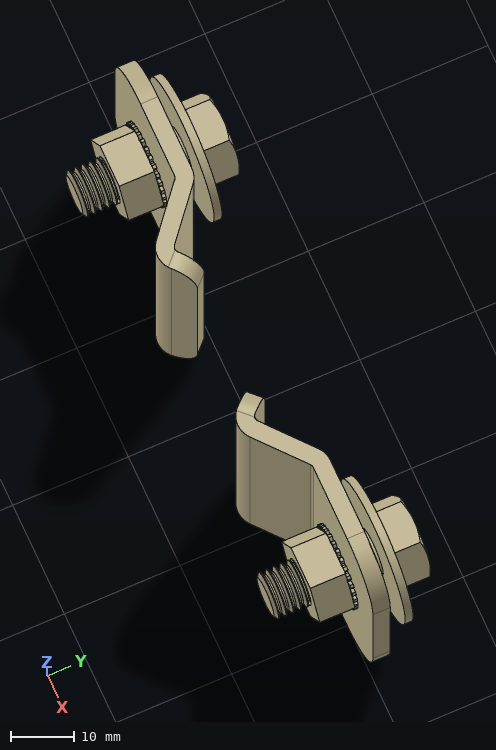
import cadquery as cq
import math


OVERALL_LENGTH = 100.0
PLATE_EDGE = OVERALL_LENGTH / 2
BOLT_X = 37.0

PLATE_HEIGHT = 40.0
PLATE_THICKNESS = 3.0
FLAT_LENGTH = 23.1
SLOPE_LENGTH = 10.6
LIP_LENGTH = 4.4
SLOPE_ANGLE = 40.0
LIP_ANGLE = 45.0
BEND_RADIUS = 1.0
OUTER_CORNER_RADIUS = 10.0
LIP_CORNER_RADIUS = 5.0

THREAD_DIAMETER = 8.0
ROOT_DIAMETER = 6.6
THREAD_LENGTH = 17.5
CREST_COUNT = 15
THREAD_PITCH = THREAD_LENGTH / (CREST_COUNT - 1)
CREST_WIDTH = THREAD_PITCH / 8
END_CHAMFER = 0.6
SHANK_LENGTH = 20.0
HEAD_ACROSS_FLATS = 13.0
HEAD_HEIGHT = 5.2
HEAD_CHAMFER_DIAMETER = HEAD_ACROSS_FLATS
HEAD_CHAMFER_ANGLE = 30.0
HEAD_COLLAR_DIAMETER = 12.6
HEAD_COLLAR_HEIGHT = 0.5
HEAD_SEAT_Y = 7.2

WASHER_DIAMETER = 25.0
WASHER_THICKNESS = 1.4

NUT_ACROSS_FLATS = 12.9
NUT_HEIGHT = 6.7
RIM_HEIGHT = 0.6
RIM_TIP_RADIUS = 7.3
RIM_ROOT_RADIUS = 6.4
TOOTH_COUNT = 29
TOOTH_TIP_SHARE = 0.4
TOOTH_ROOT_SHARE = 0.2


def across_corners(across_flats):
    """Corner-to-corner size of a hexagon."""
    return across_flats / math.cos(math.radians(30))


def plane_facing_front(y):
    """Workplane at the given Y, centred on the bolt axis; extruding goes toward -Y."""
    return cq.Workplane("XZ", origin=(0, y, 0))


def polar(radius, degrees):
    """Point at a radius and an angle about the origin."""
    angle = math.radians(degrees)
    return (radius * math.cos(angle), radius * math.sin(angle))


def shifted(start, length, degrees):
    """Point reached from a start by going a length in a direction."""
    dx, dy = polar(length, degrees)
    return (start[0] + dx, start[1] + dy)


def make_plate():
    """Left-hand clamp plate: flat part, slope toward -Y, lip turned back toward +Y."""
    outer_radius = BEND_RADIUS + PLATE_THICKNESS
    slope_normal = 90 - SLOPE_ANGLE
    lip_normal = 90 - LIP_ANGLE
    bend_end = -PLATE_EDGE + FLAT_LENGTH

    first_center = (bend_end, -BEND_RADIUS)
    slope_front_start = shifted(first_center, BEND_RADIUS, slope_normal)
    slope_back_start = shifted(first_center, outer_radius, slope_normal)
    slope_front_end = shifted(slope_front_start, SLOPE_LENGTH, -SLOPE_ANGLE)
    slope_back_end = shifted(slope_back_start, SLOPE_LENGTH, -SLOPE_ANGLE)
    second_center = shifted(slope_back_end, BEND_RADIUS, slope_normal)
    lip_front_start = shifted(second_center, outer_radius, -lip_normal)
    lip_back_start = shifted(second_center, BEND_RADIUS, -lip_normal)
    lip_front_end = shifted(lip_front_start, LIP_LENGTH, LIP_ANGLE)
    lip_back_end = shifted(lip_back_start, LIP_LENGTH, LIP_ANGLE)

    first_middle = 90 - SLOPE_ANGLE / 2
    plate = (
        cq.Workplane("XY", origin=(0, 0, -PLATE_HEIGHT / 2))
        .moveTo(-PLATE_EDGE, 0)
        .lineTo(bend_end, 0)
        .threePointArc(shifted(first_center, BEND_RADIUS, first_middle), slope_front_start)
        .lineTo(*slope_front_end)
        .threePointArc(shifted(second_center, outer_radius, -90), lip_front_start)
        .lineTo(*lip_front_end)
        .lineTo(*lip_back_end)
        .lineTo(*lip_back_start)
        .threePointArc(shifted(second_center, BEND_RADIUS, -90), slope_back_end)
        .lineTo(*slope_back_start)
        .threePointArc(shifted(first_center, outer_radius, first_middle), (bend_end, PLATE_THICKNESS))
        .lineTo(-PLATE_EDGE, PLATE_THICKNESS)
        .close()
        .extrude(PLATE_HEIGHT)
    )

    corner_height = PLATE_HEIGHT / 2
    for z in (-corner_height, corner_height):
        outer_corner = (-PLATE_EDGE, PLATE_THICKNESS / 2, z)
        plate = plate.edges(cq.NearestToPointSelector(outer_corner)).fillet(OUTER_CORNER_RADIUS)
        lip_corner = (
            (lip_front_end[0] + lip_back_end[0]) / 2,
            (lip_front_end[1] + lip_back_end[1]) / 2,
            z,
        )
        plate = plate.edges(cq.NearestToPointSelector(lip_corner)).fillet(LIP_CORNER_RADIUS)

    hole = (
        plane_facing_front(PLATE_THICKNESS)
        .center(-BOLT_X, 0)
        .circle(THREAD_DIAMETER / 2)
        .extrude(PLATE_THICKNESS)
    )
    return plate.cut(hole)


def make_threaded_shank():
    """Shank with ring-shaped thread crests, one per pitch, starting at the chamfered end."""
    end_y = HEAD_SEAT_Y - SHANK_LENGTH
    crest_radius = THREAD_DIAMETER / 2
    root_radius = ROOT_DIAMETER / 2
    root_width = THREAD_PITCH / 4
    flank_width = (THREAD_PITCH - CREST_WIDTH - root_width) / 2

    outline = [(0, end_y), (root_radius, end_y)]
    for i in range(CREST_COUNT):
        crest_y = end_y + END_CHAMFER + i * THREAD_PITCH
        if i > 0:
            outline.append((root_radius, crest_y - CREST_WIDTH / 2 - flank_width))
        outline.append((crest_radius, crest_y - CREST_WIDTH / 2))
        outline.append((crest_radius, crest_y + CREST_WIDTH / 2))
        if i < CREST_COUNT - 1:
            outline.append((root_radius, crest_y + CREST_WIDTH / 2 + flank_width))
    outline.append((crest_radius, HEAD_SEAT_Y))
    outline.append((0, HEAD_SEAT_Y))
    return cq.Workplane("XY").polyline(outline).close().revolve(360, (0, 0), (0, 1))


def make_bolt():
    """Hexagon bolt on the Y axis."""
    hex_y = HEAD_SEAT_Y + HEAD_COLLAR_HEIGHT
    top_y = hex_y + HEAD_HEIGHT
    corner_radius = across_corners(HEAD_ACROSS_FLATS) / 2
    collar = plane_facing_front(hex_y).circle(HEAD_COLLAR_DIAMETER / 2).extrude(HEAD_COLLAR_HEIGHT)
    hexagon = plane_facing_front(top_y).polygon(6, 2 * corner_radius).extrude(HEAD_HEIGHT)

    top_radius = HEAD_CHAMFER_DIAMETER / 2
    drop = (corner_radius - top_radius) * math.tan(math.radians(HEAD_CHAMFER_ANGLE))
    envelope = (
        cq.Workplane("XY")
        .polyline([
            (0, hex_y),
            (corner_radius, hex_y),
            (corner_radius, top_y - drop),
            (top_radius, top_y),
            (0, top_y),
        ])
        .close()
        .revolve(360, (0, 0), (0, 1))
    )
    return hexagon.intersect(envelope).union(collar).union(make_threaded_shank())


def make_washer():
    """Flat washer against the bolt head."""
    return (
        plane_facing_front(HEAD_SEAT_Y)
        .circle(WASHER_DIAMETER / 2)
        .circle(THREAD_DIAMETER / 2)
        .extrude(WASHER_THICKNESS)
    )


def make_nut():
    """Hexagon nut with a toothed rim against the plate."""
    tooth_pitch = 360 / TOOTH_COUNT
    half_tip = tooth_pitch * TOOTH_TIP_SHARE / 2
    half_foot = tooth_pitch * (1 - TOOTH_ROOT_SHARE) / 2
    rim_outline = []
    for i in range(TOOTH_COUNT):
        middle = 90 + i * tooth_pitch
        rim_outline.append(polar(RIM_ROOT_RADIUS, middle - half_foot))
        rim_outline.append(polar(RIM_TIP_RADIUS, middle - half_tip))
        rim_outline.append(polar(RIM_TIP_RADIUS, middle + half_tip))
        rim_outline.append(polar(RIM_ROOT_RADIUS, middle + half_foot))
    rim = plane_facing_front(0).polyline(rim_outline).close().extrude(RIM_HEIGHT)
    hexagon = (
        plane_facing_front(-RIM_HEIGHT)
        .polygon(6, across_corners(NUT_ACROSS_FLATS))
        .extrude(NUT_HEIGHT - RIM_HEIGHT)
    )
    bore = plane_facing_front(0).circle(THREAD_DIAMETER / 2).extrude(NUT_HEIGHT)
    return rim.union(hexagon).cut(bore)


left_plate = make_plate()
right_plate = left_plate.mirror("YZ")
bodies = [left_plate.val(), right_plate.val()]

for x in (-BOLT_X, BOLT_X):
    for make_fastener in (make_bolt, make_washer, make_nut):
        bodies.append(make_fastener().translate((x, 0, 0)).val())

result = cq.Compound.makeCompound(bodies)